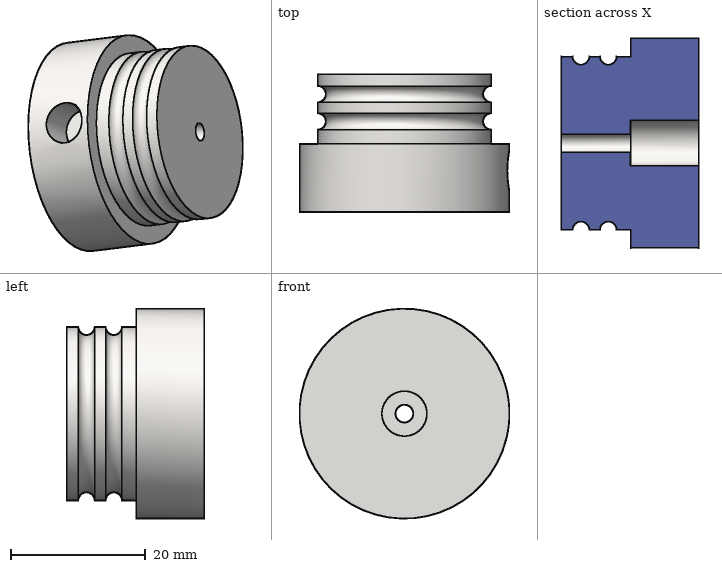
import cadquery as cq

overall_length = 20.46
flange_diameter = 31.2
flange_length = 10.13
drum_diameter = 25.8
groove_radius = 1.2
groove_pitch = 4.06
groove_count = 2
end_to_groove_centre = 2.95
bore_diameter = 6.68
bore_depth = flange_length
through_hole_diameter = 2.6
side_hole_diameter = 6.06
side_hole_from_face = 6.15
side_hole_depth = 6.0


def cylinder_along_y(diameter, start, length):
    """Solid cylinder on the Y axis, running towards +Y from the start position."""
    plane = cq.Plane(origin=(0, start, 0), xDir=(1, 0, 0), normal=(0, 1, 0))
    return cq.Workplane(plane).circle(diameter / 2).extrude(length)


def groove_ring(centre_y):
    """Ring of round section, centred on the drum surface, that cuts one groove."""
    return (
        cq.Workplane("XY")
        .center(drum_diameter / 2, centre_y)
        .circle(groove_radius)
        .revolve(360, (-drum_diameter / 2, 0), (-drum_diameter / 2, 1))
    )


def side_hole():
    """Blind radial hole that enters the flange from +X and stops short of the bore."""
    floor_x = flange_diameter / 2 - side_hole_depth
    return (
        cq.Workplane("YZ", origin=(floor_x, 0, 0))
        .center(side_hole_from_face, 0)
        .circle(side_hole_diameter / 2)
        .extrude(side_hole_depth)
    )


flange = cylinder_along_y(flange_diameter, 0, flange_length)
drum = cylinder_along_y(drum_diameter, 0, overall_length)
body = flange.union(drum)

for index in range(groove_count):
    groove_y = overall_length - end_to_groove_centre - index * groove_pitch
    body = body.cut(groove_ring(groove_y))

body = body.cut(cylinder_along_y(bore_diameter, 0, bore_depth))
body = body.cut(cylinder_along_y(through_hole_diameter, 0, overall_length))
body = body.cut(side_hole())

result = body